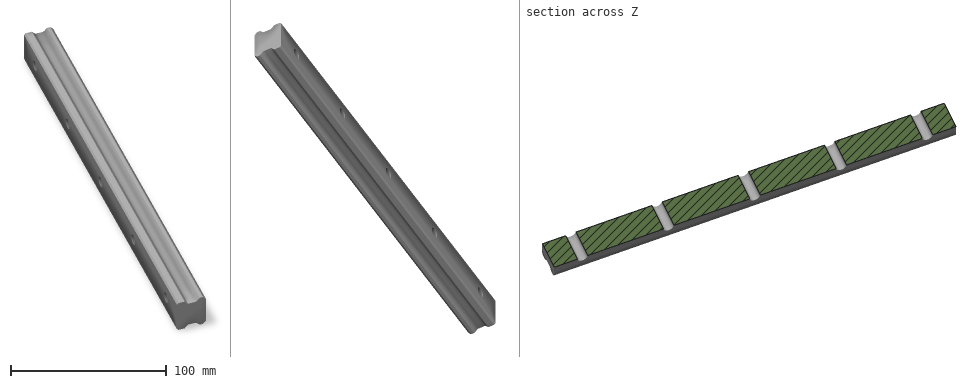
import cadquery as cq

length = 280.0
width = 20.0
height = 23.0

rear_chamfer = 2.0
rear_crest_end = 4.2
rear_bend = 6.2
rear_bend_depth = 2.0
floor_start = 7.0
floor_end = 12.3
front_crest_start = 14.5
groove_depth = 2.5
front_chamfer = 1.0
crest_chamfer = 0.5

hole_count = 5
hole_end_margin = 20.0
hole_pitch = (length - 2 * hole_end_margin) / (hole_count - 1)
hole_diameter = 7.0


def make_rail():
    """Extrude the profile, whose top and bottom grooves mirror each other."""
    top_edge = [
        (0, rear_chamfer),
        (rear_chamfer, 0),
        (rear_crest_end, 0),
        (rear_bend, rear_bend_depth),
        (floor_start, groove_depth),
        (floor_end, groove_depth),
        (front_crest_start - crest_chamfer, crest_chamfer),
        (front_crest_start, 0),
        (width - front_chamfer, 0),
        (width, front_chamfer),
    ]
    upper = [(width / 2 - across, height / 2 - depth) for across, depth in top_edge]
    lower = [(y, -z) for y, z in reversed(upper)]
    profile = cq.Workplane("YZ").polyline(upper + lower).close()
    return profile.extrude(length / 2, both=True)


def make_holes():
    """Row of plain holes running through the rail along Y."""
    return (
        cq.Workplane("XZ")
        .rarray(hole_pitch, 2.8, hole_count, 1)
        .circle(hole_diameter / 2)
        .extrude(width, both=True)
    )


result = make_rail().cut(make_holes())